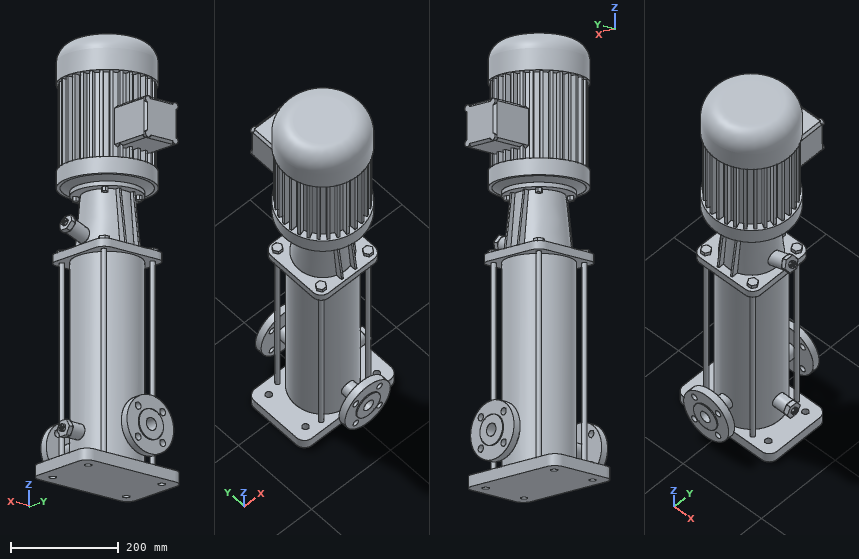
import cadquery as cq
import math


base_top = 23.0
column_top = 425.0
head_top = 441.0
lantern_top = 554.0
motor_disc_top = 562.0
motor_cone_top = 570.0
fins_bottom = 602.0
fins_top = 772.0
dome_start = 814.0
total_height = 852.0

base_length = 240.0
plate_width = 156.0
plate_corner_radius = 20.5
foot_hole_diameter = 14.0
foot_hole_x = 90.0
foot_hole_y = 50.0

column_diameter = 140.0
rod_diameter = 10.0
rod_offset = 60.0
bolt_head_across_flats = 19.0
bolt_head_height = 8.0

lantern_bottom_radius = 61.0
lantern_top_radius = 50.0
rib_x = 17.0
rib_thickness = 4.0
rib_bottom_reach = 72.0
rib_top_reach = 56.0
nut_offset = 42.0
nut_across_flats = 11.0
nut_height = 8.5

motor_diameter = 190.0
motor_disc_diameter = 140.0
motor_cone_diameter = 175.5
dome_flat_diameter = 110.0
fin_count = 30
fin_outer_radius = 91.0
fin_root_radius = 78.0
fin_thickness = 6.0

box_width = 80.0
box_bottom = 626.0
box_height = 81.0
box_end_y = 155.0
box_chamfer = 5.0
box_lug_diameter = 14.0
box_lug_length = 8.0
box_lug_inset = box_lug_diameter / 2

port_height = 81.0
port_face_y = 125.0
raised_face_diameter = 60.0
raised_face_height = 2.5
flange_diameter = 115.0
flange_thickness = 16.0
flange_hole_diameter = 14.0
flange_bolt_circle = 85.0
pipe_diameter = 32.0
bore_diameter = 25.0

sleeve_diameter = 31.0
plug_hex_thickness = 10.0
plug_head_diameter = 14.5
plug_head_thickness = 5.0
plug_slot_width = 2.5
sleeve_embed = 51.0
drain_sleeve_end = 98.0
vent_sleeve_end_x = 93.0
vent_sleeve_end_z = 479.0
vent_angle = 20.0


def disc(diameter, bottom, top):
    return cq.Workplane("XY").workplane(offset=bottom).circle(diameter / 2).extrude(top - bottom)


def square_points(offset_x, offset_y):
    return [(sx * offset_x, sy * offset_y) for sx in (-1, 1) for sy in (-1, 1)]


def rounded_plate(length, bottom, top):
    plate = cq.Workplane("XY").workplane(offset=bottom).rect(length, plate_width).extrude(top - bottom)
    return plate.edges("|Z").fillet(plate_corner_radius)


def hex_prism(plane, across_flats, height):
    return plane.polygon(6, across_flats / math.cos(math.pi / 6)).extrude(height)


def make_base():
    plate = rounded_plate(base_length, 0, base_top)
    return plate.faces(">Z").workplane().pushPoints(
        square_points(foot_hole_x, foot_hole_y)).hole(foot_hole_diameter)


def make_column():
    column = disc(column_diameter, base_top, column_top)
    corners = square_points(rod_offset, rod_offset)
    rods = cq.Workplane("XY").workplane(offset=base_top).pushPoints(corners)
    rods = rods.circle(rod_diameter / 2).extrude(column_top - base_top)
    head = rounded_plate(plate_width, column_top, head_top)
    bolts = hex_prism(cq.Workplane("XY").workplane(offset=head_top).pushPoints(corners),
                      bolt_head_across_flats, bolt_head_height)
    return column.union(rods).union(head).union(bolts)


def make_lantern():
    height = lantern_top - head_top
    cone = cq.Workplane("XY").add(cq.Solid.makeCone(
        lantern_bottom_radius, lantern_top_radius, height, cq.Vector(0, 0, head_top)))
    rib_outline = [
        (-rib_bottom_reach, head_top),
        (rib_bottom_reach, head_top),
        (rib_top_reach, lantern_top),
        (-rib_top_reach, lantern_top),
    ]
    for x in (-rib_x, rib_x):
        rib = cq.Workplane("YZ").workplane(offset=x - rib_thickness / 2)
        cone = cone.union(rib.polyline(rib_outline).close().extrude(rib_thickness))
    nuts = hex_prism(cq.Workplane("XY").workplane(offset=lantern_top - nut_height)
                     .pushPoints(square_points(nut_offset, nut_offset)),
                     nut_across_flats, nut_height)
    return cone.union(nuts)


def make_motor():
    motor_radius = motor_diameter / 2
    disc_radius = motor_disc_diameter / 2
    cone_radius = motor_cone_diameter / 2
    dome_flat_radius = dome_flat_diameter / 2
    shoulder_mid = (
        dome_flat_radius + (motor_radius - dome_flat_radius) * math.sqrt(0.5),
        dome_start + (total_height - dome_start) * math.sqrt(0.5),
    )
    body = (
        cq.Workplane("XZ")
        .moveTo(0, lantern_top)
        .lineTo(disc_radius, lantern_top)
        .lineTo(disc_radius, motor_disc_top)
        .lineTo(cone_radius, motor_cone_top)
        .lineTo(motor_radius, motor_cone_top)
        .lineTo(motor_radius, fins_bottom)
        .lineTo(fin_root_radius, fins_bottom)
        .lineTo(fin_root_radius, fins_top)
        .lineTo(motor_radius, fins_top)
        .lineTo(motor_radius, dome_start)
        .threePointArc(shoulder_mid, (dome_flat_radius, total_height))
        .lineTo(0, total_height)
        .close()
        .revolve(360, (0, 0), (0, 1))
    )
    fin_length = fin_outer_radius - fin_root_radius + fin_thickness
    fin_centre = fin_outer_radius - fin_length / 2
    fins = (
        cq.Workplane("XY")
        .workplane(offset=fins_bottom)
        .polarArray(fin_centre, 90, 360, fin_count)
        .rect(fin_length, fin_thickness)
        .extrude(fins_top - fins_bottom)
    )
    return body.union(fins)


def make_terminal_box():
    box = cq.Workplane("XY").box(box_width, box_end_y, box_height, centered=(True, False, False))
    box = box.edges("|Y or >Y").chamfer(box_chamfer)
    lug_x = box_width / 2 - box_lug_inset
    lug_z = box_height / 2 - box_lug_inset
    lugs = cq.Workplane("XZ", origin=(0, box_end_y, box_height / 2))
    lugs = lugs.pushPoints(square_points(lug_x, lug_z)).circle(box_lug_diameter / 2).extrude(box_lug_length)
    return box.union(lugs).translate((0, 0, box_bottom))


def make_port():
    """Flanged port on the -Y side."""
    flange_face_y = raised_face_height - port_face_y
    face_plane = cq.Workplane("XZ", origin=(0, flange_face_y, port_height))
    raised = face_plane.circle(raised_face_diameter / 2).extrude(raised_face_height)
    flange = (
        face_plane.circle(flange_diameter / 2)
        .polarArray(flange_bolt_circle / 2, 45, 360, 4)
        .circle(flange_hole_diameter / 2)
        .extrude(-flange_thickness)
    )
    pipe = face_plane.circle(pipe_diameter / 2).extrude(flange_face_y)
    return raised.union(flange).union(pipe)


def port_bore():
    """Blind bore from the port face to the column wall."""
    depth = port_face_y - column_diameter / 2
    plane = cq.Workplane("XZ", origin=(0, -port_face_y, port_height))
    return plane.circle(bore_diameter / 2).extrude(-depth)


def make_plug(end_x, end_z, angle):
    """Sleeve, hexagon and cross-slotted head, pointing along +X raised by the angle."""
    tilt = math.radians(angle)
    direction = (math.cos(tilt), 0, math.sin(tilt))
    plane = cq.Workplane(cq.Plane(origin=(end_x, 0, end_z), xDir=(0, 1, 0), normal=direction))
    sleeve = plane.circle(sleeve_diameter / 2).extrude(-sleeve_embed)
    hexagon = hex_prism(plane, sleeve_diameter, plug_hex_thickness)
    head_plane = plane.workplane(offset=plug_hex_thickness)
    head = head_plane.circle(plug_head_diameter / 2).extrude(plug_head_thickness)
    slot = head_plane.rect(plug_head_diameter, plug_slot_width).extrude(plug_head_thickness)
    cross_slot = head_plane.rect(plug_slot_width, plug_head_diameter).extrude(plug_head_thickness)
    return sleeve.union(hexagon).union(head.cut(slot).cut(cross_slot))


port = make_port()
bore = port_bore()

result = (
    make_base()
    .union(make_column())
    .union(make_lantern())
    .union(make_motor())
    .union(make_terminal_box())
    .union(make_plug(drain_sleeve_end, port_height, 0))
    .union(make_plug(vent_sleeve_end_x, vent_sleeve_end_z, vent_angle))
    .union(port)
    .union(port.mirror("XZ"))
    .cut(bore)
    .cut(bore.mirror("XZ"))
)